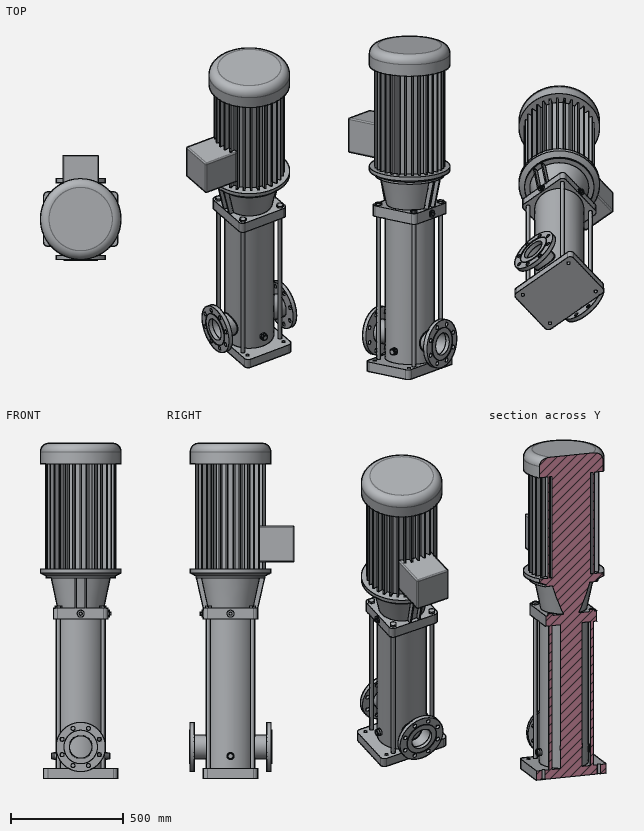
import cadquery as cq


BASE_X = 332.0
BASE_Y = 244.0
BASE_TOP = 45.0
PLATE_CORNER_R = 20.0
FOOT_HOLE_D = 14.0
FOOT_HOLE_X = 131.0
FOOT_HOLE_Y = 95.0

TUBE_D = 220.0
ROD_D = 18.0
ROD_OFFSET = 99.0
HEAD_SIDE = 244.0
HEAD_BOTTOM = 710.0
HEAD_TOP = 759.0
NUT_CORNERS_D = 30.0
NUT_HEIGHT = 9.0

NOZZLE_Z = 140.0
NOZZLE_D = 108.0
BORE_D = 100.0
PIPE_FLANGE_D = 220.0
PIPE_FLANGE_T = 20.0
RAISED_FACE_D = 150.0
RAISED_FACE_T = 3.0
NOZZLE_REACH = 184.0
BOLT_CIRCLE_D = 180.0
BOLT_HOLE_D = 18.0
BOLT_COUNT = 8

PLUG_D = 31.0
DRAIN_Z = 100.0
DRAIN_COLLAR_REACH = 118.0
DRAIN_HEAD_D = 28.0
DRAIN_REACH = 130.0
DRAIN_CHAMFER = 3.0
VENT_HEAD_T = 6.0
VENT_PIN_D = 14.0
VENT_PIN_LENGTH = 7.0

BRACKET_TOP = 893.0
BRACKET_BOTTOM_D = 206.0
BRACKET_TOP_D = 263.0
RIB_TOP_REACH = 152.0
RIB_T = 6.0
RIB_OFFSET = 22.0

MOTOR_D = 360.0
SPIGOT_D = 310.0
SPIGOT_TOP = 902.0
RIM_BOTTOM = 916.0
RIM_TOP = 934.0
COWL_BOTTOM = 1401.0
TOTAL_HEIGHT = 1494.0
COWL_ROUND = 39.0
STATOR_D = 266.0
FIN_TIP_R = 157.0
FIN_T = 7.0
FIN_COUNT = 30

BOX_X = 160.0
BOX_BOTTOM = 965.0
BOX_TOP = 1125.0
BOX_INNER_Y = 112.0
BOX_OUTER_Y = 284.0
BOX_ROUND = 6.0


def cylinder(diameter, bottom, top):
    """Upright cylinder on the pump axis."""
    return cq.Workplane("XY").workplane(offset=bottom).circle(diameter / 2).extrude(top - bottom)


def cylinder_along(direction, diameter, start, end, z):
    """Horizontal cylinder at height z, running from start to end along a direction from the axis."""
    unit = cq.Vector(*direction)
    origin = unit * start + cq.Vector(0, 0, z)
    solid = cq.Solid.makeCylinder(diameter / 2, end - start, origin, unit)
    return cq.Workplane(obj=solid)


def plate(length, width, bottom, top):
    """Horizontal plate with rounded vertical corners."""
    blank = cq.Workplane("XY").workplane(offset=bottom).rect(length, width).extrude(top - bottom)
    return blank.edges("|Z").fillet(PLATE_CORNER_R)


def base():
    holes = (
        cq.Workplane("XY")
        .rect(2 * FOOT_HOLE_X, 2 * FOOT_HOLE_Y, forConstruction=True)
        .vertices()
        .circle(FOOT_HOLE_D / 2)
        .extrude(BASE_TOP)
    )
    return plate(BASE_X, BASE_Y, 0, BASE_TOP).cut(holes)


def rod_centers(z):
    """Workplane at height z with the four tie rod axes selected."""
    square = cq.Workplane("XY").workplane(offset=z)
    return square.rect(2 * ROD_OFFSET, 2 * ROD_OFFSET, forConstruction=True).vertices()


def tie_rods():
    return rod_centers(BASE_TOP).circle(ROD_D / 2).extrude(HEAD_BOTTOM - BASE_TOP)


def rod_nuts():
    return rod_centers(HEAD_TOP).polygon(6, NUT_CORNERS_D).extrude(NUT_HEIGHT)


def nozzle(side):
    """Flanged nozzle on the +Y (side = 1) or -Y (side = -1) face; its bore ends at the tube."""
    out = (0, side, 0)
    flange_outer = NOZZLE_REACH - RAISED_FACE_T
    flange_inner = flange_outer - PIPE_FLANGE_T
    pipe = cylinder_along(out, NOZZLE_D, 0, flange_outer, NOZZLE_Z)
    flange = cylinder_along(out, PIPE_FLANGE_D, flange_inner, flange_outer, NOZZLE_Z)
    raised_face = cylinder_along(out, RAISED_FACE_D, flange_inner, NOZZLE_REACH, NOZZLE_Z)
    bore = cylinder_along(out, BORE_D, 0, NOZZLE_REACH, NOZZLE_Z)
    bolt_hole = cylinder_along(out, BOLT_HOLE_D, flange_inner, flange_outer, NOZZLE_Z)
    bolt_hole = bolt_hole.translate((BOLT_CIRCLE_D / 2, 0, 0))
    body = pipe.union(flange).union(raised_face).cut(bore)
    pitch = 360 / BOLT_COUNT
    for i in range(BOLT_COUNT):
        angle = (i + 0.5) * pitch
        body = body.cut(bolt_hole.rotate((0, 0, NOZZLE_Z), (0, 1, NOZZLE_Z), angle))
    return body


def drain_plug(side):
    """Collar with a chamfered head, low on the tube on the +X or -X side."""
    out = (side, 0, 0)
    start = TUBE_D / 2 - PLUG_D / 2
    outer_face = ">X" if side > 0 else "<X"
    head = cylinder_along(out, DRAIN_HEAD_D, start, DRAIN_REACH, DRAIN_Z)
    head = head.faces(outer_face).chamfer(DRAIN_CHAMFER)
    collar = cylinder_along(out, PLUG_D, start, DRAIN_COLLAR_REACH, DRAIN_Z)
    return head.union(collar)


def vent_plug(direction):
    """Plug with a small pin, on a side face of the head plate."""
    z = (HEAD_BOTTOM + HEAD_TOP) / 2
    head_end = HEAD_SIDE / 2 + VENT_HEAD_T
    head = cylinder_along(direction, PLUG_D, HEAD_SIDE / 2, head_end, z)
    pin = cylinder_along(direction, VENT_PIN_D, HEAD_SIDE / 2, head_end + VENT_PIN_LENGTH, z)
    return head.union(pin)


def bracket():
    """Cone widening upward, with a pair of thin ribs on both the -Y and +Y sides."""
    cone = (
        cq.Workplane("XZ")
        .moveTo(0, HEAD_TOP)
        .lineTo(BRACKET_BOTTOM_D / 2, HEAD_TOP)
        .lineTo(BRACKET_TOP_D / 2, BRACKET_TOP)
        .lineTo(0, BRACKET_TOP)
        .close()
        .revolve(360, (0, 0, 0), (0, 1, 0))
    )
    rib_outline = [
        (-HEAD_SIDE / 2, HEAD_TOP),
        (HEAD_SIDE / 2, HEAD_TOP),
        (RIB_TOP_REACH, BRACKET_TOP),
        (-RIB_TOP_REACH, BRACKET_TOP),
    ]
    rib = cq.Workplane("YZ").polyline(rib_outline).close().extrude(RIB_T / 2, both=True)
    for x in (-RIB_OFFSET, RIB_OFFSET):
        cone = cone.union(rib.translate((x, 0, 0)))
    return cone


def motor_flange():
    """Spigot, cone and rim turned in one piece."""
    return (
        cq.Workplane("XZ")
        .moveTo(0, BRACKET_TOP)
        .lineTo(SPIGOT_D / 2, BRACKET_TOP)
        .lineTo(SPIGOT_D / 2, SPIGOT_TOP)
        .lineTo(MOTOR_D / 2, RIM_BOTTOM)
        .lineTo(MOTOR_D / 2, RIM_TOP)
        .lineTo(0, RIM_TOP)
        .close()
        .revolve(360, (0, 0, 0), (0, 1, 0))
    )


def stator():
    """Motor body with straight cooling fins; one fin lies on the -Y axis."""
    body = cylinder(STATOR_D, RIM_TOP, COWL_BOTTOM)
    fin_root = STATOR_D / 2 - FIN_T
    fin_length = FIN_TIP_R - fin_root
    fins = (
        cq.Workplane("XY")
        .workplane(offset=RIM_TOP)
        .polarArray((fin_root + FIN_TIP_R) / 2, -90, 360, FIN_COUNT)
        .rect(fin_length, FIN_T)
        .extrude(COWL_BOTTOM - RIM_TOP)
    )
    return body.union(fins)


def cowl():
    return cylinder(MOTOR_D, COWL_BOTTOM, TOTAL_HEIGHT).faces(">Z").edges().fillet(COWL_ROUND)


def terminal_box():
    box = (
        cq.Workplane("XY")
        .workplane(offset=BOX_BOTTOM)
        .center(0, (BOX_INNER_Y + BOX_OUTER_Y) / 2)
        .rect(BOX_X, BOX_OUTER_Y - BOX_INNER_Y)
        .extrude(BOX_TOP - BOX_BOTTOM)
    )
    return box.edges("|Y or >Y").fillet(BOX_ROUND)


parts = [
    cylinder(TUBE_D, BASE_TOP, HEAD_BOTTOM),
    tie_rods(),
    plate(HEAD_SIDE, HEAD_SIDE, HEAD_BOTTOM, HEAD_TOP),
    rod_nuts(),
    nozzle(-1),
    nozzle(1),
    drain_plug(-1),
    drain_plug(1),
    vent_plug((0, -1, 0)),
    vent_plug((1, 0, 0)),
    bracket(),
    motor_flange(),
    stator(),
    cowl(),
    terminal_box(),
]

result = base()
for part in parts:
    result = result.union(part)